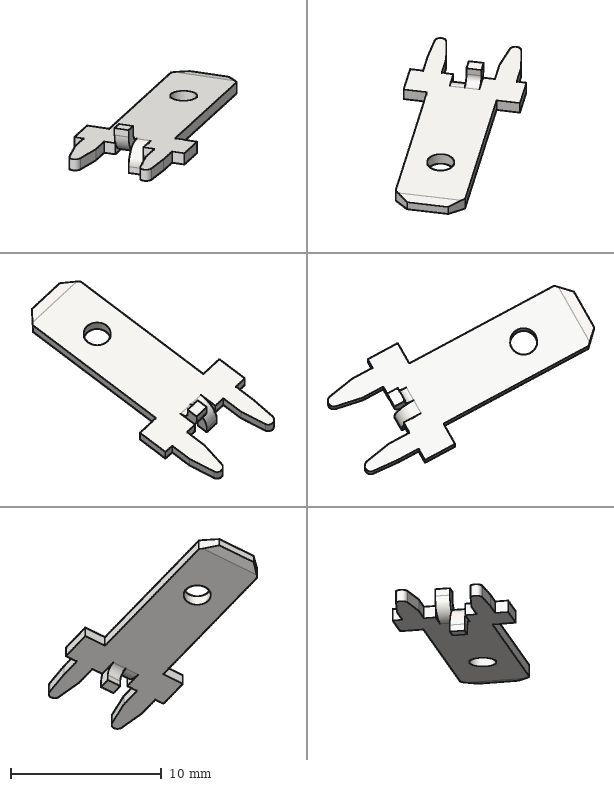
import cadquery as cq
import math

length = 17.96
thickness = 0.8
half_thickness = thickness / 2

tab_half_width = 2.35
corner_cut = 0.97
bevel_length = 0.77
bevel_depth = 0.1
hole_diameter = 1.8
hole_y = 13.38

shoulder_half_width = 3.93
shoulder_top = 6.02
shoulder_bottom = 3.74

leg_offset = 2.53
leg_half_width = 0.74
narrow_leg_outer_half_width = 0.52
taper_start = 2.2
tip_radius = 0.4

tongue_width = 1.0
height = 3.05
bend_start = 5.05
bend_inner_radius = 0.65
bend_outer_radius = bend_inner_radius + thickness


def tip_tangent_offset(half_width):
    """Offset from the tip center to where the leg's tapered edge meets the round tip."""
    rise = taper_start - tip_radius
    angle = math.atan2(rise, half_width) - math.acos(tip_radius / math.hypot(half_width, rise))
    return tip_radius * math.cos(angle), tip_radius * math.sin(angle)


def make_leg(center_x, left_half_width, right_half_width):
    left_dx, left_dy = tip_tangent_offset(left_half_width)
    right_dx, right_dy = tip_tangent_offset(right_half_width)
    left = center_x - left_half_width
    right = center_x + right_half_width
    return (
        cq.Workplane("XY", origin=(0, 0, -half_thickness))
        .moveTo(left, shoulder_top)
        .lineTo(left, taper_start)
        .lineTo(center_x - left_dx, tip_radius + left_dy)
        .threePointArc((center_x, 0), (center_x + right_dx, tip_radius + right_dy))
        .lineTo(right, taper_start)
        .lineTo(right, shoulder_top)
        .close()
        .extrude(thickness)
    )


def make_tab():
    """Tab with cut corners, a lead-in bevel on both faces and a detent hole."""
    bevel_start = length - bevel_length
    end_half_thickness = half_thickness - bevel_depth
    profile = (
        cq.Workplane("YZ", origin=(-tab_half_width, 0, 0))
        .polyline([
            (shoulder_bottom, -half_thickness),
            (bevel_start, -half_thickness),
            (length, -end_half_thickness),
            (length, end_half_thickness),
            (bevel_start, half_thickness),
            (shoulder_bottom, half_thickness),
        ])
        .close()
        .extrude(2 * tab_half_width)
    )
    tab = profile.edges("|Z and >Y").chamfer(corner_cut)
    hole = (
        cq.Workplane("XY", origin=(0, hole_y, -half_thickness))
        .circle(hole_diameter / 2)
        .extrude(thickness)
    )
    return tab.cut(hole)


def make_shoulder():
    return (
        cq.Workplane("XY")
        .box(2 * shoulder_half_width, shoulder_top - shoulder_bottom, thickness)
        .translate((0, (shoulder_top + shoulder_bottom) / 2, 0))
    )


def make_tongue(left_x, side):
    """Tongue bent a quarter turn up (side = 1) or down (side = -1)."""
    bend_center_z = half_thickness + bend_inner_radius
    diagonal = math.sqrt(0.5)

    def arc_middle(radius):
        return bend_start - radius * diagonal, side * (bend_center_z - radius * diagonal)

    inner_y = bend_start - bend_inner_radius
    outer_y = bend_start - bend_outer_radius
    return (
        cq.Workplane("YZ", origin=(left_x, 0, 0))
        .moveTo(bend_start, side * half_thickness)
        .threePointArc(arc_middle(bend_inner_radius), (inner_y, side * bend_center_z))
        .lineTo(inner_y, side * height / 2)
        .lineTo(outer_y, side * height / 2)
        .lineTo(outer_y, side * bend_center_z)
        .threePointArc(arc_middle(bend_outer_radius), (bend_start, -side * half_thickness))
        .close()
        .extrude(tongue_width)
    )


sheet = make_tab().union(make_shoulder())
sheet = sheet.union(make_leg(-leg_offset, leg_half_width, leg_half_width))
sheet = sheet.union(make_leg(leg_offset, leg_half_width, narrow_leg_outer_half_width))

opening_length = bend_start - shoulder_bottom
opening = (
    cq.Workplane("XY")
    .box(2 * tongue_width, opening_length, thickness)
    .translate((0, shoulder_bottom + opening_length / 2, 0))
)

up_tongue = make_tongue(-tongue_width, 1)
down_tongue = make_tongue(0, -1)
result = sheet.cut(opening).union(up_tongue).union(down_tongue)